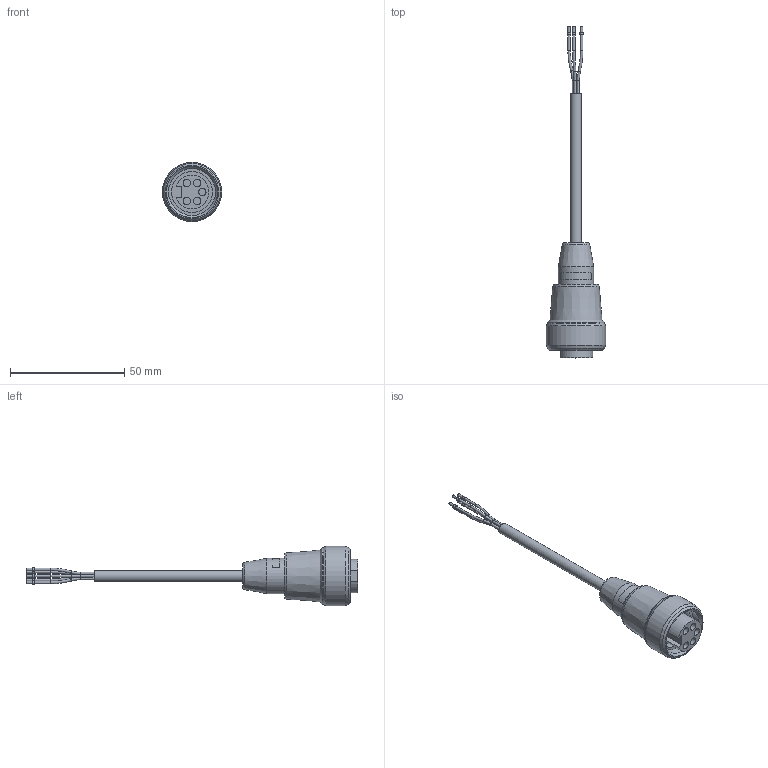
import math

import cadquery as cq

total_length = 145.5

nut_radius = 13.0
nut_shoulder_radius = 12.5
nut_front = 3.3
nut_front_radius = 11.7
nut_front_shoulder = 4.2
nut_front_bevel_end = 5.5
nut_back_bevel_start = 14.2
nut_back_shoulder = 15.2
nut_back = 15.7

mouth_radius = 11.25
mouth_depth = 1.0
bore_radius = 10.25
bore_end = 8.0
bore_floor_radius = 9.0
socket_floor = 11.0

insert_radius = 7.4
keyway_width = 4.9
keyway_floor_x = -4.65
contact_diameter = 3.3
contact_circle_radius = 4.5
contact_depth = 4.0
contact_angles = [-120, -60, 0, 60, 120]

grip_front = 16.6
grip_front_radius = 11.4
grip_taper_end = 31.2
grip_back = 32.2
grip_taper_radius = 10.2
grip_back_radius = 9.9

boot_radius = 7.75
boot_taper_start = 40.0
boot_chamfer_start = 49.6
boot_end = 50.5
boot_small_radius = 6.05
boot_end_radius = 5.4

label_start = 34.2
label_end = 37.4
label_depth = 0.06
label_bottom_z = 3.6

cable_diameter = 4.8
cable_end = 115.7
wire_count = 5
wire_diameter = 1.05
wire_inner_circle = 1.2
wire_outer_circle = 3.03
wire_embedded_length = 1.0
wire_bend_start = 121.5
wire_inflection = 125.8
wire_bend_end = 134.6
band_diameter = 1.4
band_start = 141.6
band_end = 142.8


def cylinder(radius, start, end, x=0.0, z=0.0):
    """Solid cylinder along +Y between two Y positions."""
    base = cq.Vector(x, start, z)
    return cq.Workplane(cq.Solid.makeCylinder(radius, end - start, base, cq.Vector(0, 1, 0)))


def make_body():
    """Nut, grip and boot as one turned profile with the socket opening in front."""
    profile = [
        (0, socket_floor),
        (bore_floor_radius, socket_floor),
        (bore_floor_radius, bore_end),
        (bore_radius, bore_end),
        (bore_radius, nut_front + mouth_depth),
        (mouth_radius, nut_front),
        (nut_front_radius, nut_front),
        (nut_shoulder_radius, nut_front_shoulder),
        (nut_radius, nut_front_bevel_end),
        (nut_radius, nut_back_bevel_start),
        (nut_shoulder_radius, nut_back_shoulder),
        (nut_shoulder_radius, nut_back),
        (grip_front_radius, grip_front),
        (grip_taper_radius, grip_taper_end),
        (grip_back_radius, grip_back),
        (boot_radius, grip_back),
        (boot_radius, boot_taper_start),
        (boot_small_radius, boot_chamfer_start),
        (boot_end_radius, boot_end),
        (0, boot_end),
    ]
    return cq.Workplane("XY").polyline(profile).close().revolve(360, (0, 0, 0), (0, 1, 0))


def make_insert():
    """Round contact carrier with a side keyway and five blind contact holes."""
    insert = cylinder(insert_radius, 0, socket_floor)
    keyway = cq.Workplane("XY").box(
        insert_radius, socket_floor, keyway_width, centered=(False, False, True)
    ).translate((keyway_floor_x - insert_radius, 0, 0))
    insert = insert.cut(keyway)
    for angle in contact_angles:
        x = contact_circle_radius * math.cos(math.radians(angle))
        z = contact_circle_radius * math.sin(math.radians(angle))
        insert = insert.cut(cylinder(contact_diameter / 2, 0, contact_depth, x, z))
    return insert


def make_label_recess():
    """Ring segment removed from the boot surface above the label's lower edge."""
    ring = cylinder(boot_radius, label_start, label_end).cut(
        cylinder(boot_radius - label_depth, label_start, label_end)
    )
    upper = cq.Workplane("XY").box(
        2 * boot_radius, total_length, boot_radius, centered=(True, False, False)
    ).translate((0, 0, label_bottom_z))
    return ring.intersect(upper)


def make_wire():
    """Wire on the -X side, bending outwards in an S of two tangent arcs, with its end band."""
    spread = wire_outer_circle - wire_inner_circle
    bend_share = (wire_inflection - wire_bend_start) / (wire_bend_end - wire_bend_start)
    inflection_x = -(wire_inner_circle + spread * bend_share)
    path = (
        cq.Workplane("XY")
        .moveTo(-wire_inner_circle, cable_end - wire_embedded_length)
        .lineTo(-wire_inner_circle, wire_bend_start)
        .tangentArcPoint((inflection_x, wire_inflection), relative=False)
        .tangentArcPoint((-wire_outer_circle, wire_bend_end), relative=False)
        .lineTo(-wire_outer_circle, total_length)
    )
    wire = (
        cq.Workplane("XZ", origin=(-wire_inner_circle, cable_end - wire_embedded_length, 0))
        .circle(wire_diameter / 2)
        .sweep(path)
    )
    return wire.union(cylinder(band_diameter / 2, band_start, band_end, -wire_outer_circle))


def make_cable():
    """Sheathed cable with the wires fanned evenly around its axis."""
    cable = cylinder(cable_diameter / 2, boot_end, cable_end)
    wire = make_wire()
    for index in range(wire_count):
        cable = cable.union(wire.rotate((0, 0, 0), (0, 1, 0), index * 360 / wire_count))
    return cable


connector = make_body().union(make_insert()).cut(make_label_recess())
result = connector.union(make_cable())